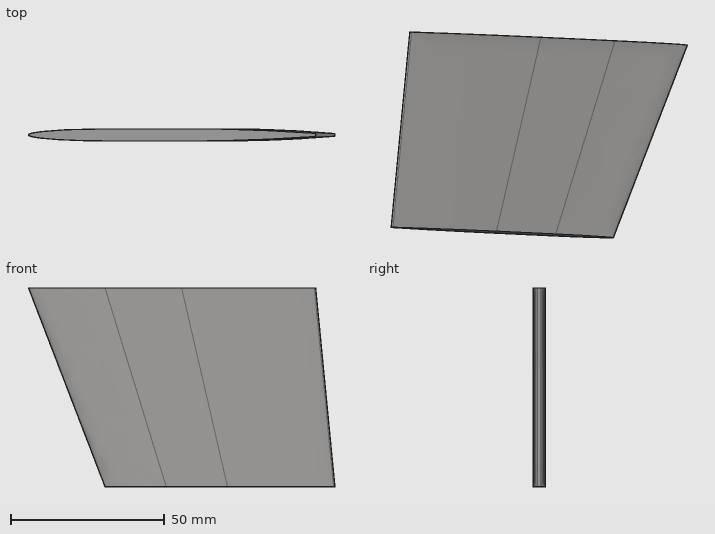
import cadquery as cq

span = 65.0
thickness = 4.0
lower_chord = 75.09
upper_chord = 93.8
lower_nose_length = 20.0
upper_nose_length = 25.0
lower_flat_length = 20.0
upper_flat_length = 25.0
sweep = 25.0
tail_thickness = 1.0
tail_cap_length = 0.5

half_thickness = thickness / 2
half_tail = tail_thickness / 2


def section_wire(leading_x, chord, nose_length, flat_length, z):
    """Symmetric blade section: elliptic nose, flat sides, curved taper, rounded trailing edge."""
    flat_start = leading_x + nose_length
    flat_end = flat_start + flat_length
    tip_x = leading_x + chord
    tail_x = tip_x - tail_cap_length

    def point(x, y):
        return cq.Vector(x, y, z)

    def nose_side(start_angle, end_angle):
        return cq.Edge.makeEllipse(
            nose_length,
            half_thickness,
            pnt=point(flat_start, 0),
            angle1=start_angle,
            angle2=end_angle,
        )

    along_chord = cq.Vector(1, 0, 0)
    back_taper = cq.Edge.makeTangentArc(
        point(flat_end, half_thickness), along_chord, point(tail_x, half_tail)
    )
    front_taper = cq.Edge.makeTangentArc(
        point(flat_end, -half_thickness), along_chord, point(tail_x, -half_tail)
    )
    return cq.Wire.assembleEdges([
        nose_side(180, 270),
        cq.Edge.makeLine(point(flat_start, -half_thickness), point(flat_end, -half_thickness)),
        front_taper,
        cq.Edge.makeThreePointArc(point(tail_x, -half_tail), point(tip_x, 0), point(tail_x, half_tail)),
        back_taper,
        cq.Edge.makeLine(point(flat_end, half_thickness), point(flat_start, half_thickness)),
        nose_side(90, 180),
    ])


lower_section = section_wire(sweep, lower_chord, lower_nose_length, lower_flat_length, 0)
upper_section = section_wire(0, upper_chord, upper_nose_length, upper_flat_length, span)

result = cq.Workplane("XY").newObject([cq.Solid.makeLoft([lower_section, upper_section], True)])